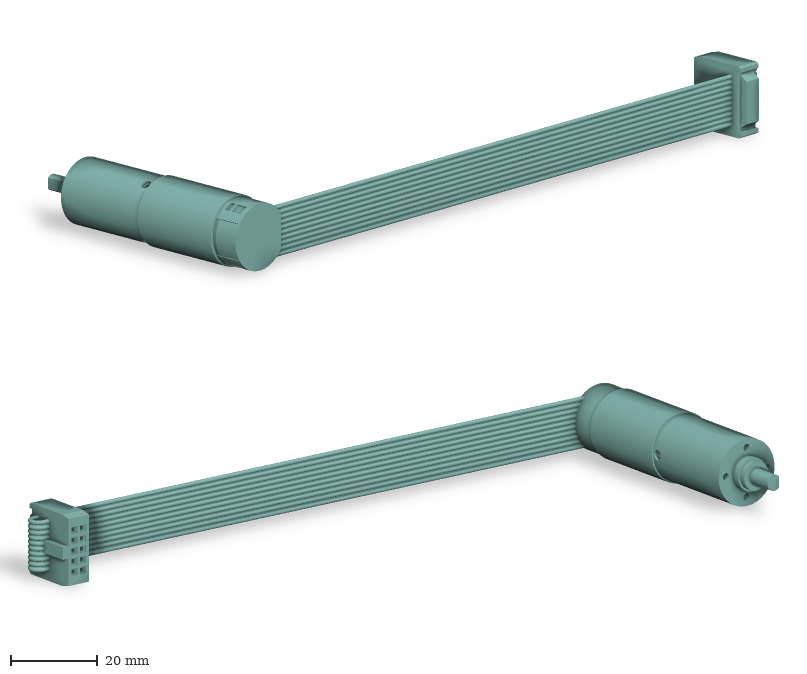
import cadquery as cq
import math

shaft_radius = 2.0
shaft_flat_length = 6.0
shaft_flat_offset = 1.4
collar_start = 6.8
collar_radius = 3.5
pilot_start = 8.5
pilot_radius = 4.0
gearbox_start = 10.5
gearbox_radius = 8.0
motor_start = 35.5
motor_diameter = 17.0
motor_radius = motor_diameter / 2
cap_start = 58.8
cap_radius = 8.0
cap_end = 66.3

mount_hole_count = 4
mount_hole_circle_radius = 6.0
mount_hole_diameter = 1.8
mount_hole_depth = 2.6
side_screw_x = 33.8
side_screw_diameter = 2.5
side_screw_depth = 0.7
side_screw_drive_diameter = 1.2
side_screw_drive_depth = 1.5
side_screw_angles = (60, 180, -60)

cap_panel_half_width = 4.4
cap_gap_width = 1.2
cap_gap_depth = 0.4
cap_pocket_spans = ((59.8, 61.4), (61.9, 64.9))
cap_pocket_angle = 60
cap_pocket_width = 2.5
cap_pocket_depth = 0.5
cap_seam_width = 0.2
cap_seam_depth = 0.4
cap_seam_end = 65.8
cable_relief_y = 7.0

wire_count = 10
wire_pitch = 1.26
wire_radius = 0.5
web_thickness = 0.4
cable_x = 65.5
cable_start_y = 3.5
total_length = 175.4
loop_radius = 2.0
loop_top_y = total_length - motor_radius
loop_center_y = loop_top_y - loop_radius - wire_radius

body_start_x = 53.8
body_end_x = 67.7
body_low_y = 157.1
body_high_y = 163.1
body_height = 17.2
body_bevel_length = 2.3
body_bevel_depth = 0.5
body_mid_y = (body_low_y + body_high_y) / 2
end_tab_length = 0.9
end_tab_bevel_length = 0.5
end_tab_bevel_depth = 0.4
end_tab_height = 1.4
latch_end_x = 69.6
latch_half_height = 5.0
latch_root_half_height = 6.5
latch_width = 4.2
key_length = 7.7
key_rise = 1.5
key_height = 3.0
socket_columns = 5
socket_rows = 2
socket_pitch = 2 * wire_pitch
socket_mouth = 1.8
socket_mouth_depth = 0.5
socket_bore = 1.0
socket_bore_depth = 5.3


def cylinder_x(start, end, radius):
    return cq.Workplane("YZ", origin=(start, 0, 0)).circle(radius).extrude(end - start)


def box(x_range, y_range, z_range):
    low, high = zip(x_range, y_range, z_range)
    sizes = [b - a for a, b in zip(low, high)]
    return cq.Workplane("XY", origin=low).box(*sizes, centered=False)


def around_axis(shape, angle):
    return shape.rotate((0, 0, 0), (1, 0, 0), -angle)


def make_shaft():
    shaft = cylinder_x(0, gearbox_start, shaft_radius)
    flat = box(
        (0, shaft_flat_length),
        (-shaft_radius, -shaft_flat_offset),
        (-shaft_radius, shaft_radius),
    )
    return shaft.cut(flat)


def make_gearbox():
    gearbox = cylinder_x(gearbox_start, motor_start, gearbox_radius)
    mount_holes = (
        cq.Workplane("YZ", origin=(gearbox_start, 0, 0))
        .polarArray(mount_hole_circle_radius, 0, 360, mount_hole_count)
        .circle(mount_hole_diameter / 2)
        .extrude(mount_hole_depth)
    )
    gearbox = gearbox.cut(mount_holes)
    screw_plane = cq.Workplane("XZ", origin=(side_screw_x, -gearbox_radius, 0))
    recess = screw_plane.circle(side_screw_diameter / 2).extrude(-side_screw_depth)
    drive = screw_plane.circle(side_screw_drive_diameter / 2).extrude(-side_screw_drive_depth)
    side_hole = recess.union(drive)
    for angle in side_screw_angles:
        gearbox = gearbox.cut(around_axis(side_hole, angle))
    return gearbox


def cap_cutter(x_range, width, depth):
    """Cutter on the -Y side of the cap, reaching in from its surface."""
    return box(x_range, (-cap_radius, -cap_radius + depth), (-width / 2, width / 2))


def make_cap():
    cap = cylinder_x(cap_start, cap_end, cap_radius)

    gap_end = cap_start + cap_gap_width
    gap = cylinder_x(cap_start, gap_end, cap_radius).cut(
        cylinder_x(cap_start, gap_end, cap_radius - cap_gap_depth)
    )
    gap_sector = box(
        (cap_start, gap_end),
        (-cap_radius, 0),
        (-cap_panel_half_width, cap_panel_half_width),
    )
    cap = cap.cut(gap.intersect(gap_sector))

    seam_angle = math.degrees(math.asin(cap_panel_half_width / cap_radius))
    seam = cap_cutter((cap_start, cap_seam_end), cap_seam_width, cap_seam_depth)
    for side in (-1, 1):
        cap = cap.cut(around_axis(seam, side * seam_angle))
        for span in cap_pocket_spans:
            pocket = cap_cutter(span, cap_pocket_width, cap_pocket_depth)
            cap = cap.cut(around_axis(pocket, side * cap_pocket_angle))

    relief = box((cable_x, cap_end), (cable_relief_y, cap_radius), (-cap_radius, cap_radius))
    return cap.cut(relief)


def make_motor():
    motor = make_shaft()
    motor = motor.union(cylinder_x(collar_start, gearbox_start, collar_radius))
    motor = motor.union(cylinder_x(pilot_start, gearbox_start, pilot_radius))
    motor = motor.union(make_gearbox())
    motor = motor.union(cylinder_x(motor_start, cap_start, motor_radius))
    return motor.union(make_cap())


def ribbon_section(x, y):
    """Cable cross section in the XZ plane, centred at the given X and Y."""
    web = web_thickness / 2
    half_chord = math.sqrt(wire_radius**2 - web**2)
    first_z = -wire_pitch * (wire_count - 1) / 2
    centers = [first_z + i * wire_pitch for i in range(wire_count)]
    end_z = wire_radius - first_z

    section = cq.Workplane("XZ", origin=(x, y, 0)).moveTo(0, -end_z)
    diagonal = wire_radius * math.sqrt(0.5)
    for side, ordered in ((1, centers), (-1, centers[::-1])):
        for i, z in enumerate(ordered):
            if i == 0:
                leave = (side * web, z + side * half_chord)
                section = section.threePointArc((side * wire_radius, z), leave)
                continue
            section = section.lineTo(side * web, z - side * half_chord)
            if i < wire_count - 1:
                leave = (side * web, z + side * half_chord)
                section = section.threePointArc((side * wire_radius, z), leave)
            else:
                middle = (side * diagonal, z + side * diagonal)
                section = section.threePointArc(middle, (0, side * end_z))
    return section.close()


def make_cable():
    straight = ribbon_section(cable_x, cable_start_y).extrude(cable_start_y - loop_center_y)
    loop = ribbon_section(cable_x, loop_center_y).revolve(
        180, (-loop_radius, 0, 0), (-loop_radius, 1, 0)
    )
    return_x = cable_x - 2 * loop_radius
    tail = ribbon_section(return_x, loop_center_y).extrude(loop_center_y - body_mid_y)
    return straight.union(loop).union(tail)


def make_connector():
    top_z = body_height / 2
    face_z = top_z - body_bevel_depth
    bevel_x = body_start_x + body_bevel_length
    tab_x = body_end_x + end_tab_length
    tab_z = top_z - end_tab_height
    half_outline = [
        (body_start_x, face_z),
        (bevel_x, top_z),
        (tab_x - end_tab_bevel_length, top_z),
        (tab_x, top_z - end_tab_bevel_depth),
        (tab_x, tab_z),
        (body_end_x, tab_z),
    ]
    mirrored = [(x, -z) for x, z in reversed(half_outline)]
    connector = (
        cq.Workplane("XZ", origin=(0, body_low_y, 0))
        .polyline(half_outline + mirrored)
        .close()
        .extrude(body_low_y - body_high_y)
    )

    latch = (
        cq.Workplane("XZ", origin=(0, body_mid_y, 0))
        .polyline([
            (body_end_x, -latch_root_half_height),
            (latch_end_x, -latch_half_height),
            (latch_end_x, latch_half_height),
            (body_end_x, latch_root_half_height),
        ])
        .close()
        .extrude(latch_width / 2, both=True)
    )
    key = box(
        (body_start_x, body_start_x + key_length),
        (body_high_y, body_high_y + key_rise),
        (-key_height / 2, key_height / 2),
    )
    return connector.union(latch).union(key)


def make_sockets():
    def openings(size, depth):
        return (
            cq.Workplane("YZ", origin=(body_start_x, body_mid_y, 0))
            .rarray(socket_pitch, socket_pitch, socket_rows, socket_columns)
            .rect(size, size)
            .extrude(depth)
        )

    return openings(socket_mouth, socket_mouth_depth).union(
        openings(socket_bore, socket_bore_depth)
    )


result = make_motor().union(make_cable()).union(make_connector()).cut(make_sockets())